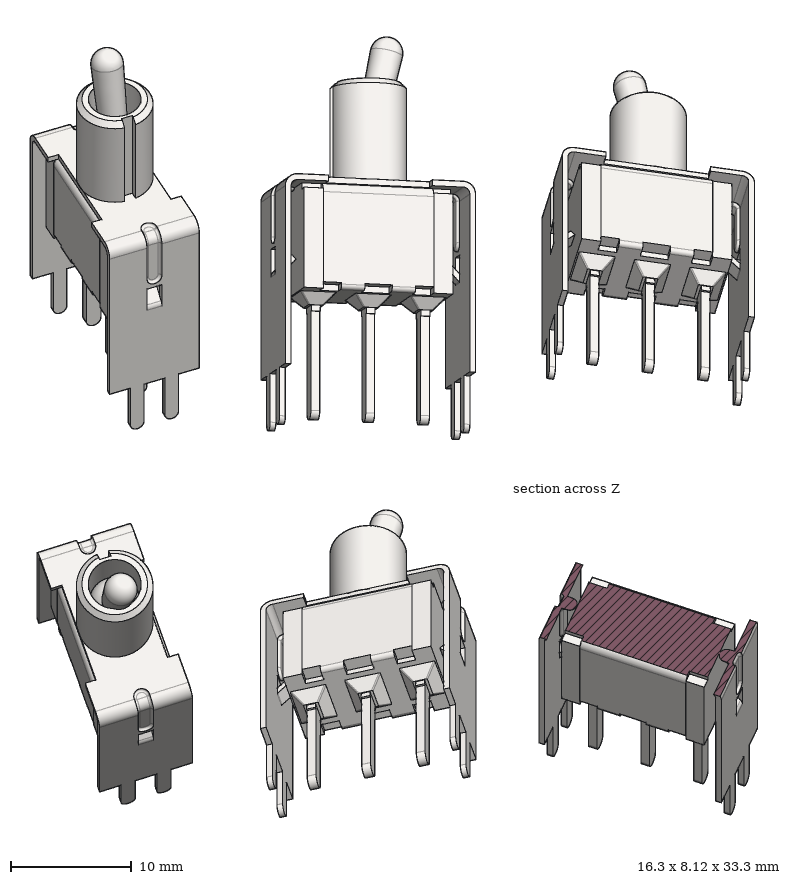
import cadquery as cq
import math

bracket_length = 16.27
bracket_width = 8.12
bracket_top = 20.7
sheet = 0.5
bend_radius = 1.05
waist_length = 8.85
waist_width = 6.25
shoulder_height = 4.7
leg_pin_width = 1.23
leg_pin_spacing = 3.13

rib_width = 1.33
rib_depth = 0.25
rib_bottom = 15.48
rib_reach = 1.8
rib_wall_radius = 0.23

tab_width = 1.33
window_top = 15.1
tab_bend_start = 12.78
tab_bend_radius = 0.6
tab_angle = math.radians(45)
tab_length = 1.8

body_length = 12.7
body_width = 6.85
body_bottom = 11.28
body_top = bracket_top - sheet
ledge_height = 0.5
ledge_width = 5.25
clip_length = 9.45
clip_width = 6.92
clip_bottom = 11.8
clip_top_radius = 0.8
fold_radius = 0.4
fold_inner = 1.15
fold_outer = 3.15
foot_width = 4.65

terminal_pitch = 4.7
terminal_thickness = 0.75
terminal_width = 1.33
terminal_bottom = 0.8
terminal_neck_bottom = 9.82
terminal_neck_width = 1.65
seal_bottom = 10.32
seal_length = 3.05
seal_width = 3.6
seal_inset = 0.9
seal_corner = 0.13

bushing_diameter = 6.35
bushing_top = 29.3
bushing_chamfer = 0.45
bore_diameter = 4.35
keyway_width = 1.0
keyway_floor = 2.45

overall_height = 33.28
ball_radius = 2.15
lever_tilt = 12.5
lever_length = 7.22
lever_base_radius = 1.2
tip_radius = 1.35
ball_height = overall_height - tip_radius - lever_length * math.cos(math.radians(lever_tilt))


def block(length, width, bottom, top, x=0):
    """A box centred on Y = 0 and on the given X, between two heights."""
    base = cq.Workplane("XY", origin=(x, 0, bottom))
    return base.rect(length, width).extrude(top - bottom)


def channel_core(inset, width=bracket_width):
    """The bracket's filled outline, shrunk inward by the inset."""
    core = block(bracket_length - 2 * inset, width, 0, bracket_top - inset)
    return core.edges("|Y and >Z").fillet(bend_radius - inset)


def round_ended_pin(thickness, width, bottom, top, x, y=0):
    """A flat pin whose lower end is a full half-round across its width."""
    radius = width / 2
    return (
        cq.Workplane("YZ", origin=(x - thickness / 2, 0, 0))
        .moveTo(y - radius, top)
        .lineTo(y - radius, bottom + radius)
        .threePointArc((y, bottom), (y + radius, bottom + radius))
        .lineTo(y + radius, top)
        .close()
        .extrude(thickness)
    )


def both_ends(solid):
    """The solid together with its mirror image across X = 0."""
    return solid.union(solid.mirror("YZ"))


def rib_footprint():
    """A round-ended strip on the -X leg and top, as wide as a rib."""
    outside = -bracket_length / 2
    radius = rib_width / 2
    bend_bottom = bracket_top - bend_radius
    straight = rib_reach - radius
    on_leg = round_ended_pin(bend_radius, rib_width, rib_bottom, bracket_top, outside + bend_radius / 2)
    on_top = block(straight, rib_width, bend_bottom, bracket_top, outside + straight / 2)
    top_end = cq.Workplane("XY", origin=(outside + straight, 0, bend_bottom)).circle(radius)
    on_top = on_top.union(top_end.extrude(bend_radius))
    return on_leg.union(on_top)


def rib_layer(outer_inset):
    """The rib strip, one rib depth thick, starting at an inset from the bracket's outside.

    Rounding one inner edge carries along the whole smooth rim of the strip.
    """
    layer = channel_core(outer_inset).cut(channel_core(outer_inset + rib_depth))
    layer = layer.intersect(rib_footprint())
    inner_leg_edge = layer.edges("|Z and >Y").edges("<Z").edges(">X")
    return inner_leg_edge.fillet(rib_wall_radius)


def latch_tab():
    """The -X tab: a bend at its root, then straight and inclined towards the housing."""
    outside = -bracket_length / 2
    centre_x = outside + tab_bend_radius
    inner_radius = tab_bend_radius - sheet
    sine = math.sin(tab_angle)
    cosine = math.cos(tab_angle)

    def on_bend(radius, angle):
        return (centre_x - radius * math.cos(angle), tab_bend_start + radius * math.sin(angle))

    def tip(radius):
        x, z = on_bend(radius, tab_angle)
        return (x + tab_length * sine, z + tab_length * cosine)

    return (
        cq.Workplane("XZ", origin=(0, tab_width / 2, 0))
        .moveTo(*on_bend(tab_bend_radius, 0))
        .threePointArc(on_bend(tab_bend_radius, tab_angle / 2), on_bend(tab_bend_radius, tab_angle))
        .lineTo(*tip(tab_bend_radius))
        .lineTo(*tip(inner_radius))
        .lineTo(*on_bend(inner_radius, tab_angle))
        .threePointArc(on_bend(inner_radius, tab_angle / 2), on_bend(inner_radius, 0))
        .close()
        .extrude(tab_width)
    )


def make_bracket():
    shell = channel_core(0).cut(channel_core(sheet))
    shell = shell.cut(block(bracket_length, bracket_width, 0, shoulder_height))
    waist_depth = (bracket_width - waist_width) / 2
    for side in (-1, 1):
        notch = block(waist_length, waist_depth, body_top, bracket_top)
        shell = shell.cut(notch.translate((0, side * (waist_width + waist_depth) / 2, 0)))

    leg_x = (bracket_length - sheet) / 2
    for x in (-leg_x, leg_x):
        shell = shell.cut(block(sheet, tab_width, tab_bend_start, window_top, x))
        for y in (-leg_pin_spacing / 2, leg_pin_spacing / 2):
            shell = shell.union(round_ended_pin(sheet, leg_pin_width, 0, shoulder_height, x, y))

    groove = rib_layer(0)
    bump = rib_layer(sheet)
    shell = shell.union(both_ends(bump)).cut(both_ends(groove))
    return shell.union(both_ends(latch_tab()))


def make_housing():
    housing = block(body_length, body_width, body_bottom, body_top - ledge_height)
    housing = housing.cut(block(clip_length, body_width, body_bottom, clip_bottom))
    housing = housing.union(block(body_length, ledge_width, body_top - ledge_height, body_top))
    housing = housing.cut(block(clip_length, body_width, body_bottom, body_top))

    clip = block(clip_length, clip_width, clip_bottom, body_top)
    housing = housing.union(clip.edges("|X and >Z").fillet(clip_top_radius))
    housing = housing.union(block(clip_length, foot_width, body_bottom, clip_bottom))

    fold_length = fold_outer - fold_inner
    fold_x = (fold_outer + fold_inner) / 2
    for x in (-fold_x, fold_x):
        fold = block(fold_length, clip_width, body_bottom, clip_bottom, x)
        housing = housing.union(fold.edges("|X and <Z").fillet(fold_radius))
    return housing


def make_terminal(x):
    """A pin with a wider neck, leaving the housing through a tapered seal."""
    seal_height = body_bottom - seal_bottom
    seal = (
        cq.Workplane("XY", origin=(x, 0, body_bottom))
        .rect(seal_length, seal_width)
        .workplane(offset=-seal_height)
        .rect(seal_length - 2 * seal_inset, seal_width - 2 * seal_inset)
        .loft(ruled=True)
        .edges("not #Z")
        .fillet(seal_corner)
    )
    pin = round_ended_pin(terminal_thickness, terminal_width, terminal_bottom, body_bottom, x)
    neck = block(terminal_thickness, terminal_neck_width, terminal_neck_bottom, body_bottom, x)
    return seal.union(pin).union(neck)


def make_bushing():
    bushing = (
        cq.Workplane("XY", origin=(0, 0, bracket_top))
        .circle(bushing_diameter / 2)
        .extrude(bushing_top - bracket_top)
        .faces(">Z")
        .chamfer(bushing_chamfer)
    )
    bore = cq.Workplane("XY", origin=(0, 0, ball_height)).circle(bore_diameter / 2)
    bushing = bushing.cut(bore.extrude(bushing_top - ball_height))
    keyway_depth = bushing_diameter / 2 - keyway_floor
    keyway_x = keyway_floor + keyway_depth / 2
    return bushing.cut(block(keyway_depth, keyway_width, bracket_top, bushing_top, keyway_x))


def make_lever():
    """Revolved about its own axis, then leaned towards -X about the ball's centre."""
    neck_height = math.sqrt(ball_radius**2 - lever_base_radius**2)
    diagonal = math.sqrt(0.5)
    lever = (
        cq.Workplane("XZ")
        .moveTo(0, -ball_radius)
        .threePointArc((ball_radius, 0), (lever_base_radius, neck_height))
        .lineTo(tip_radius, lever_length)
        .threePointArc(
            (tip_radius * diagonal, lever_length + tip_radius * diagonal),
            (0, lever_length + tip_radius),
        )
        .close()
        .revolve(360, (0, 0, 0), (0, 1, 0))
    )
    lever = lever.rotate((0, 0, 0), (0, 1, 0), -lever_tilt)
    return lever.translate((0, 0, ball_height))


result = make_bracket().union(make_housing())
for position in (-terminal_pitch, 0, terminal_pitch):
    result = result.union(make_terminal(position))
result = result.union(make_bushing()).union(make_lever())